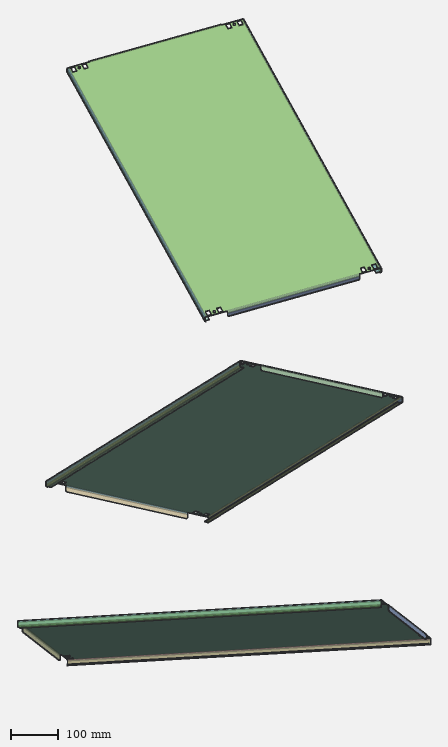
import cadquery as cq

length = 799.0
width = 400.0
height = 15.0

sheet = 2.0
bend_radius = 4.0
inner_radius = bend_radius - sheet

side_lip = 12.0
end_flange_depth = 14.0
flange_corner = 2.0
lip_end_inset = 2.0
end_flange_width = 299.0

window_length = 13.0
window_width = 9.0
window_edge_strip = 2.0
window_pitch = 25.5
hole_diameter = 5.5
hole_inset = 8.0
hole_y = 175.0

panel_length = length - 2 * bend_radius


def side_channel():
    """Panel with flanges and inward lips along its two long sides, the lips stopping short of the ends."""
    half_length = panel_length / 2
    outer = cq.Workplane("YZ").rect(width, height).extrude(half_length, both=True)
    outer = outer.edges("|X").fillet(bend_radius)
    inner = cq.Workplane("YZ").rect(width - 2 * sheet, height - 2 * sheet)
    inner = inner.extrude(half_length, both=True).edges("|X").fillet(inner_radius)
    below_skin = cq.Workplane("XY").workplane(offset=height / 2 - sheet)
    opening = below_skin.rect(panel_length, width - 2 * side_lip).extrude(-height)
    lip_end_x = half_length - lip_end_inset / 2
    lip_ends = (
        below_skin.pushPoints([(-lip_end_x, 0), (lip_end_x, 0)])
        .rect(lip_end_inset, width - 2 * bend_radius)
        .extrude(-height)
    )
    return outer.cut(inner).cut(opening).cut(lip_ends)


def end_flanges():
    """Middle strip of the panel with a plain flange bent down at each end."""
    blank = (
        cq.Workplane("YZ")
        .center(0, (height - end_flange_depth) / 2)
        .rect(end_flange_width, end_flange_depth)
        .extrude(length / 2, both=True)
        .edges("|X and <Z")
        .chamfer(flange_corner)
    )
    outer = cq.Workplane("XZ").rect(length, 2 * height).extrude(end_flange_width / 2, both=True)
    outer = outer.edges("|Y").fillet(bend_radius)
    inner = cq.Workplane("XZ").rect(length - 2 * sheet, 2 * (height - sheet))
    inner = inner.extrude(end_flange_width / 2, both=True).edges("|Y").fillet(inner_radius)
    return outer.cut(inner).translate((0, 0, -height / 2)).intersect(blank)


def corner_cutouts(x_side, y_side):
    """A round hole between two rectangular windows, through the top skin only."""
    top = cq.Workplane("XY").workplane(offset=height / 2 - sheet)
    window_x = x_side * (panel_length / 2 - window_edge_strip - window_length / 2)
    windows = top.pushPoints(
        [(window_x, y_side * (hole_y + shift)) for shift in (-window_pitch / 2, window_pitch / 2)]
    ).rect(window_length, window_width).extrude(sheet)
    hole_x = x_side * (panel_length / 2 - hole_inset)
    hole = top.center(hole_x, y_side * hole_y).circle(hole_diameter / 2).extrude(sheet)
    return windows.union(hole)


result = side_channel().union(end_flanges())
for x_side in (-1, 1):
    for y_side in (-1, 1):
        result = result.cut(corner_cutouts(x_side, y_side))